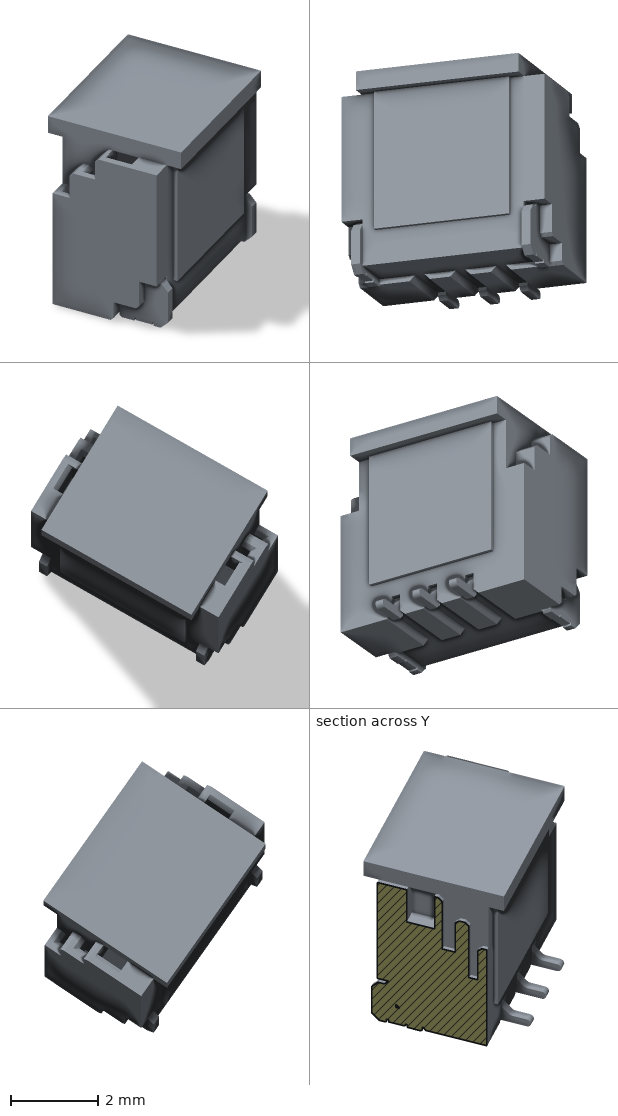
import cadquery as cq
import math

body_length = 2.69
body_width = 5.0
body_height = 4.25

cap_overhang = 0.38
cap_length = 3.445
cap_width = 4.0
cap_thickness = 0.45

plate_thickness = 0.105
plate_width = 3.32
plate_bottom = 0.955

low_step_end, low_step_height = 0.44, 3.0
mid_step_end, mid_step_height = 1.09, 3.685
step_chamfer_run = 0.105
low_chamfer_drop = 0.085
top_chamfer_drop = 0.1

pocket_outer_y = 2.335
pocket_depth = 1.0
mouth_slope = 0.105
low_pocket_start = 0.13
mid_pocket_start = 0.685
top_pocket_start, top_pocket_end = 1.29, 1.965
top_pocket_inner_y = 1.75

relief_start = 1.58
relief_height = 0.13
notch_step_x = 2.235
notch_low_height = 0.5
notch_top_height = 1.245
notch_corner_chamfer = 0.08
notch_foot_chamfer = 0.08

clip_inner_y = 1.985
clip_thickness = 0.22
clip_right = 2.835
clip_bottom = -0.05
clip_left_chamfer = 0.05
clip_right_chamfer = 0.195
clip_shoulder_z, clip_shoulder_x = 1.145, 2.665
clip_shoulder_drop = 0.19
clip_tab_start = 2.515
clip_tab_slope = 0.095
clip_slots = (1.96, 2.42)
clip_slot_width = 0.04
clip_slot_top = 0.035
clip_middle_bottom = -0.025

lead_count = 3
lead_pitch = 1.0
lead_width = 0.2
lead_thickness = 0.215
lead_tip_x = -0.705
lead_bottom = -0.05
lead_bend_x = -0.2
lead_bend_radius = 0.15
lead_heel_x = 0.05
lead_slot_width = 0.24
lead_slot_depth = 0.155
lead_slot_top = 0.545

half_width = body_width / 2
block_half_width = cap_width / 2


def box(x_range, y_range, z_range):
    """Axis-aligned box given by its limits."""
    size = [high - low for low, high in (x_range, y_range, z_range)]
    corner = (x_range[0], y_range[0], z_range[0])
    return cq.Workplane("XY").box(*size, centered=False).translate(corner)


def extrude_along_y(outline, y_start, y_end):
    """Extrude a closed XZ outline from y_start to y_end."""
    return outline.extrude(y_start - y_end).translate((0, y_start, 0))


def polygon_along_y(points, y_start, y_end):
    return extrude_along_y(cq.Workplane("XZ").polyline(points).close(), y_start, y_end)


def on_both_sides(shape):
    """The shape together with its mirror image across the XZ plane."""
    return shape.union(shape.mirror("XZ"))


def make_cap():
    return box(
        (-cap_overhang, cap_length - cap_overhang),
        (-block_half_width, block_half_width),
        (body_height, body_height + cap_thickness),
    )


def make_plates():
    return box(
        (-plate_thickness, body_length + plate_thickness),
        (-plate_width / 2, plate_width / 2),
        (plate_bottom, body_height),
    )


def make_step_cut():
    """Staircase removed above one shoulder, with a chamfered edge on each riser."""
    outline = [
        (0, low_step_height),
        (low_step_end, low_step_height),
        (low_step_end, mid_step_height - low_chamfer_drop),
        (low_step_end + step_chamfer_run, mid_step_height),
        (mid_step_end, mid_step_height),
        (mid_step_end, body_height - top_chamfer_drop),
        (mid_step_end + step_chamfer_run, body_height),
        (0, body_height),
    ]
    return polygon_along_y(outline, block_half_width, half_width)


def make_pocket(x_start, x_end, inner_y, mouth_z, start_slope):
    """Pocket whose outer wall, and start wall if sloped, lean inward at the mouth."""
    shaft = box(
        (x_start + start_slope, x_end),
        (inner_y, pocket_outer_y - mouth_slope),
        (mouth_z - pocket_depth, mouth_z),
    )
    floor_z = mouth_z - mouth_slope
    outer_slope = (
        cq.Workplane("YZ")
        .polyline([
            (inner_y, floor_z),
            (pocket_outer_y - mouth_slope, floor_z),
            (pocket_outer_y, mouth_z),
            (inner_y, mouth_z),
        ])
        .close()
        .extrude(x_end - x_start)
        .translate((x_start, 0, 0))
    )
    side_outline = [
        (x_start + start_slope, floor_z),
        (x_end, floor_z),
        (x_end, mouth_z),
        (x_start, mouth_z),
    ]
    mouth = outer_slope.intersect(polygon_along_y(side_outline, inner_y, pocket_outer_y))
    return shaft.union(mouth)


def make_pockets():
    low = make_pocket(low_pocket_start, low_step_end, block_half_width, low_step_height, mouth_slope)
    mid = make_pocket(mid_pocket_start, mid_step_end, block_half_width, mid_step_height, mouth_slope)
    top = make_pocket(top_pocket_start, top_pocket_end, top_pocket_inner_y, body_height, 0)
    return low.union(mid).union(top)


def make_underside_relief():
    return box((relief_start, body_length), (-half_width, half_width), (0, relief_height))


def make_clip_notch():
    outline = [
        (relief_start - notch_foot_chamfer, 0),
        (relief_start, notch_foot_chamfer),
        (relief_start, notch_low_height),
        (notch_step_x - notch_corner_chamfer, notch_low_height),
        (notch_step_x, notch_low_height + notch_corner_chamfer),
        (notch_step_x, notch_top_height),
        (body_length, notch_top_height),
        (body_length, 0),
    ]
    return polygon_along_y(outline, clip_inner_y, half_width)


def make_clip():
    clip_outer_y = clip_inner_y + clip_thickness
    first_slot, second_slot = clip_slots
    outline = [
        (relief_start, notch_low_height),
        (relief_start, clip_bottom + clip_left_chamfer),
        (relief_start + clip_left_chamfer, clip_bottom),
        (clip_right - clip_right_chamfer, clip_bottom),
        (clip_right, clip_bottom + clip_right_chamfer),
        (clip_right, clip_shoulder_z - clip_shoulder_drop),
        (clip_shoulder_x, clip_shoulder_z),
        (clip_tab_start, clip_shoulder_z),
        (clip_tab_start - clip_tab_slope, notch_top_height),
        (notch_step_x, notch_top_height),
        (notch_step_x, notch_low_height),
    ]
    clip = polygon_along_y(outline, clip_inner_y, clip_outer_y)
    y_range = (clip_inner_y, clip_outer_y)
    for slot_x in clip_slots:
        clip = clip.cut(box((slot_x, slot_x + clip_slot_width), y_range, (clip_bottom, clip_slot_top)))
    return clip.cut(box((first_slot, second_slot), y_range, (clip_bottom, clip_middle_bottom)))


def make_lead_slot(y):
    """Narrow slot for the bent lead, over a channel that flares to the underside."""
    half_slot = lead_slot_width / 2
    slot = box((0, lead_slot_depth), (y - half_slot, y + half_slot), (0, lead_slot_top))
    half_flare = half_slot + relief_height
    channel = (
        cq.Workplane("YZ")
        .polyline([
            (y - half_flare, 0),
            (y + half_flare, 0),
            (y + half_slot, relief_height),
            (y - half_slot, relief_height),
        ])
        .close()
        .extrude(relief_start)
    )
    return slot.union(channel)


def make_lead(y):
    """Flat foot with a round tip, bent up at 45 degrees into the slot."""
    foot_top = lead_bottom + lead_thickness
    tip_radius = lead_thickness / 2
    bend_tangent = lead_bend_radius * math.tan(math.pi / 8)
    half_sine = math.sin(math.pi / 8)
    half_cosine = math.cos(math.pi / 8)
    bend_start_x = lead_bend_x - bend_tangent
    bend_end = (
        lead_bend_x + bend_tangent * math.cos(math.pi / 4),
        foot_top + bend_tangent * math.sin(math.pi / 4),
    )
    bend_middle = (
        bend_start_x + lead_bend_radius * half_sine,
        foot_top + lead_bend_radius * (1 - half_cosine),
    )
    outline = (
        cq.Workplane("XZ")
        .moveTo(lead_heel_x, lead_bottom)
        .lineTo(lead_tip_x + tip_radius, lead_bottom)
        .threePointArc((lead_tip_x, lead_bottom + tip_radius), (lead_tip_x + tip_radius, foot_top))
        .lineTo(bend_start_x, foot_top)
        .threePointArc(bend_middle, bend_end)
        .lineTo(lead_slot_depth, foot_top + lead_slot_depth - lead_bend_x)
        .lineTo(lead_slot_depth, lead_bottom + lead_slot_depth - lead_heel_x)
        .close()
    )
    return extrude_along_y(outline, y - lead_width / 2, y + lead_width / 2)


lead_positions = [(i - (lead_count - 1) / 2) * lead_pitch for i in range(lead_count)]

result = box((0, body_length), (-half_width, half_width), (0, body_height))
result = result.cut(on_both_sides(make_step_cut()))
result = result.cut(on_both_sides(make_pockets()))
result = result.cut(make_underside_relief())
result = result.cut(on_both_sides(make_clip_notch()))
result = result.union(make_cap()).union(make_plates())

for lead_y in lead_positions:
    result = result.cut(make_lead_slot(lead_y))
    result = result.union(make_lead(lead_y))

result = result.union(on_both_sides(make_clip()))